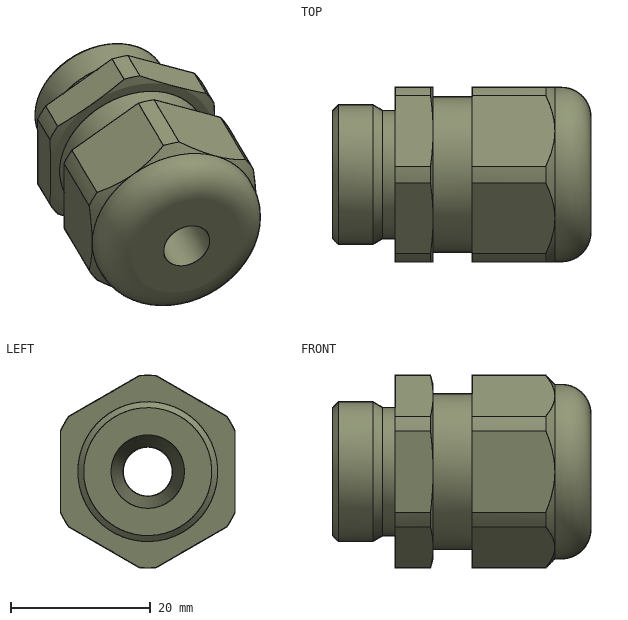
import cadquery as cq
import math

total_length = 37.0
across_flats = 25.0
across_corners = 27.6

thread_diameter = 20.0
thread_chamfer = 0.85
neck_diameter = 18.4
thread_taper_start = 5.77
thread_taper_end = 7.18

body_hex_start = 8.95
body_hex_end = 14.4
body_hex_bevel = 0.37
collar_diameter = 22.3

cap_hex_start = 19.98
cap_hex_end = 31.82
cap_hex_bevel = 1.3
dome_start = 32.75
dome_radius = total_length - dome_start

bore_exit_diameter = 7.0
bore_mouth_diameter = 10.5


def turned(points):
    """Revolve a closed (x, radius) outline about the X axis."""
    return cq.Workplane("XY").polyline(points).close().revolve(360, (0, 0), (1, 0))


def cylinder(start, end, diameter):
    return cq.Workplane("YZ", origin=(start, 0, 0)).circle(diameter / 2).extrude(end - start)


def beveled_hex(start, end, bevel):
    """Hexagon with corners up and down, rounded corners and a conical bevel on its +X end."""
    sharp_corners = across_flats / math.cos(math.pi / 6)
    prism = (
        cq.Workplane("YZ", origin=(start, 0, 0))
        .transformed(rotate=(0, 0, 90))
        .polygon(6, sharp_corners)
        .extrude(end - start)
    )
    envelope = turned([
        (start, 0),
        (start, across_corners / 2),
        (end - bevel, across_corners / 2),
        (end, across_flats / 2),
        (end, 0),
    ])
    return prism.intersect(envelope)


thread_radius = thread_diameter / 2
neck_radius = neck_diameter / 2
stem = turned([
    (0, 0),
    (0, thread_radius - thread_chamfer),
    (thread_chamfer, thread_radius),
    (thread_taper_start, thread_radius),
    (thread_taper_end, neck_radius),
    (body_hex_start, neck_radius),
    (body_hex_start, 0),
])

body_hex = beveled_hex(body_hex_start, body_hex_end, body_hex_bevel)
collar = cylinder(body_hex_end, cap_hex_start, collar_diameter)
cap_hex = beveled_hex(cap_hex_start, cap_hex_end, cap_hex_bevel)
dome = cylinder(cap_hex_end, total_length, across_flats).faces(">X").edges().fillet(dome_radius)

bore = turned([
    (0, 0),
    (0, bore_mouth_diameter / 2),
    (total_length, bore_exit_diameter / 2),
    (total_length, 0),
])

result = stem.union(body_hex).union(collar).union(cap_hex).union(dome).cut(bore)